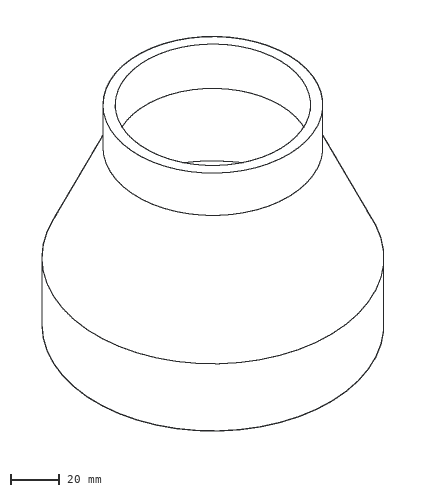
import cadquery as cq
import math

total_height = 115.0
large_radius = 140 / 2
small_radius = 90.0 / 2
large_height = 35.1
small_height = 22.1
wall = 5.0

cone_bottom = large_height
cone_top = total_height - small_height

cone_angle = math.atan2(large_radius - small_radius, cone_top - cone_bottom)
mitre_drop = wall * math.tan(cone_angle / 2)


def reducer_solid(inset, drop):
    """Stacked cylinder, cone and cylinder, inset radially with the cone lowered."""
    bottom_radius = large_radius - inset
    top_radius = small_radius - inset
    return (
        cq.Workplane("XZ")
        .moveTo(0, 0)
        .lineTo(bottom_radius, 0)
        .lineTo(bottom_radius, cone_bottom - drop)
        .lineTo(top_radius, cone_top - drop)
        .lineTo(top_radius, total_height)
        .lineTo(0, total_height)
        .close()
        .revolve(360, (0, 0), (0, 1))
    )


body = reducer_solid(0, 0)
bore = reducer_solid(wall, mitre_drop)
result = body.cut(bore)